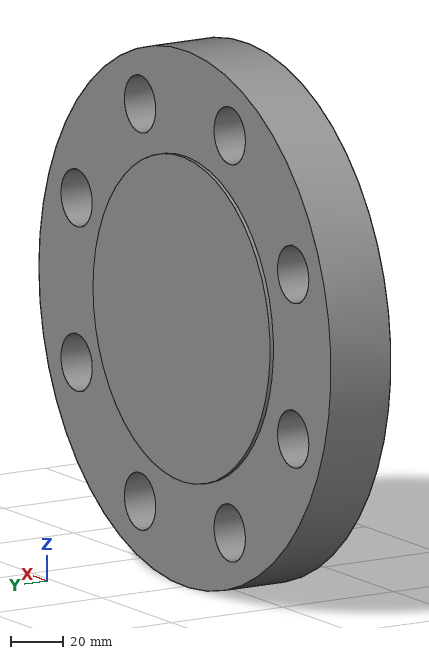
import cadquery as cq

flange_diameter = 209.5
total_thickness = 28.5
raised_face_diameter = 127.0
raised_face_height = 1.5
flange_thickness = total_thickness - raised_face_height

bolt_hole_count = 8
bolt_hole_diameter = 22.5
bolt_circle_diameter = 168.0
hole_spacing_angle = 360 / bolt_hole_count


def disc(diameter, thickness, start_y):
    """Round plate that begins at start_y and grows toward +Y."""
    plane = cq.Workplane("XZ", origin=(0, start_y, 0))
    return plane.circle(diameter / 2).extrude(-thickness)


def bolt_holes():
    """Ring of through-hole cutters on the bolt circle."""
    return (
        cq.Workplane("XZ")
        .polarArray(bolt_circle_diameter / 2, hole_spacing_angle / 2, 360, bolt_hole_count)
        .circle(bolt_hole_diameter / 2)
        .extrude(-flange_thickness)
    )


flange = disc(flange_diameter, flange_thickness, 0)
raised_face = disc(raised_face_diameter, raised_face_height, flange_thickness)
result = flange.cut(bolt_holes()).union(raised_face)